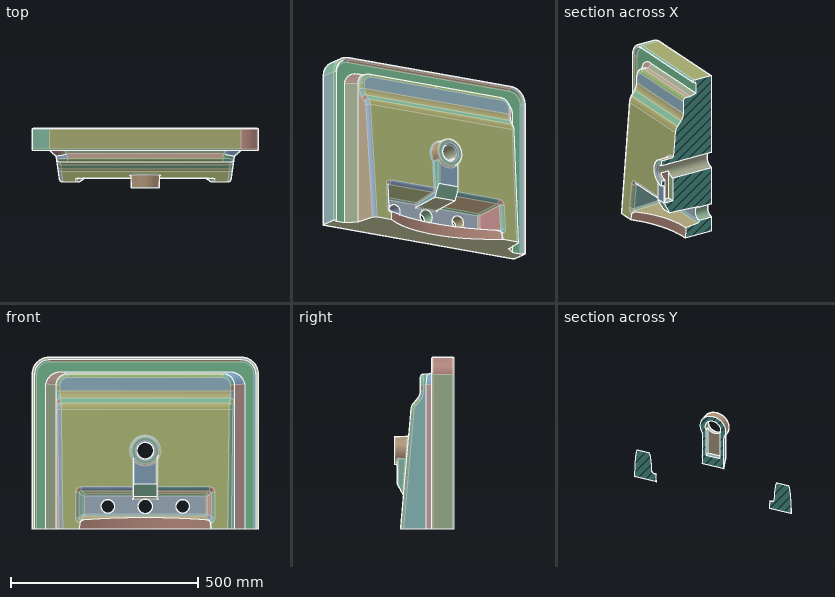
import cadquery as cq
import math


SLAB_WIDTH = 605.0
SLAB_HEIGHT = 460.0
SLAB_DEPTH = 60.0
SLAB_CORNER = 46.0
SLAB_EDGE_ROUND = 4.0
LIP_WIDTH = 7.0
LIP_HEIGHT = 9.0
LIP_INNER_ROUND = 2.5
LIP_FOOT_ROUND = 5.5
PANEL_DEPTH = SLAB_DEPTH - LIP_HEIGHT

FLARE_END_DEPTH = 75.0
FLARE_BASE_HALF_WIDTH = 266.0
FLARE_END_HALF_WIDTH = 238.5
FLARE_BASE_TOP = 420.0
FLARE_END_TOP = 413.0
FLARE_BASE_CORNER = (46.0, 32.0)
FLARE_END_CORNER = (32.0, 27.0)

APRON_TOP = 415.0
APRON_DRAFT = 8.0
APRON_CORNER = 30.0
APRON_LIMIT_DEPTH = 160.0
APRON_EDGE_ROUND = 10.0
TOP_FACE_DEPTH = 90.7
SHOULDER_DEPTH = 115.8
FOOT_DEPTH = 143.8
TOP_FACE_END = 370.0
STEP_ANGLE = 40.0
STEP_TOP = 350.0
STEP_BOTTOM = 337.0
SHOULDER_HEIGHT = 320.0

RECESS_FLOOR_DEPTH = 40.0
RECESS_DRAFT = 6.5
RECESS_FLOOR_HALF_WIDTH = 166.5
RECESS_FLOOR_BOTTOM = 36.0
RECESS_FLOOR_TOP = 93.0
RECESS_EDGE_ROUND = 5.0

RIM_ROUND = 10.0
SHELF_ROUND = 6.0
RIM_HALF_WIDTH = 191.0
RIM_EDGE_REACH = 20.0
RIM_UPPER_BAND = (45.0, 116.0)
RIM_LOWER_BAND = (12.0, 32.0)

BITE_HALF_CHORD = 176.0
BITE_RISE = 61.0
BITE_LIMIT_DEPTH = 80.0

TAP_HEIGHT = 61.0
TAP_SPACING = 100.0
SIDE_TAP_DIAMETER = 35.5
CENTRE_TAP_DIAMETER = 38.0

DRAIN_HEIGHT = 210.0
DRAIN_DIAMETER = 44.0
DRAIN_ENTRY_ROUND = 4.0
BOSS_END_DEPTH = 160.0
BOSS_START_DEPTH = 100.0
BOSS_END_RADIUS = 37.5
BOSS_DRAFT = 2.0
BOSS_ROUND = 2.0
BOSS_FOOT_ROUND = 3.0
CHANNEL_HALF_WIDTH = 31.7
CHANNEL_DEPTH = 152.4
CHANNEL_KINK_HEIGHT = 121.0
CHANNEL_TOE_DEPTH = 134.0
CHANNEL_TOE_HEIGHT = 87.0
CHANNEL_FLOOR_HEIGHT = 82.0
CHANNEL_ROUND = 3.5
CHANNEL_FOOT_ROUND = 3.0
OVERFLOW_WIDTH = 40.0
OVERFLOW_FRONT_DEPTH = 148.0
OVERFLOW_BACK_DEPTH = 124.0


def at_depth(depth):
    """Vertical sketch plane at a depth; its normal points toward -Y."""
    return cq.Workplane("XZ", origin=(0, -depth, 0))


def arch(plane, half_width, top, corner_x, corner_z):
    """Outline standing on Z = 0 with two rounded upper corners."""
    spring = top - corner_z
    flat = half_width - corner_x
    mid_x = flat + corner_x * math.sqrt(0.5)
    mid_z = spring + corner_z * math.sqrt(0.5)
    return (
        plane.moveTo(-half_width, 0)
        .lineTo(-half_width, spring)
        .threePointArc((-mid_x, mid_z), (-flat, top))
        .lineTo(flat, top)
        .threePointArc((mid_x, mid_z), (half_width, spring))
        .lineTo(half_width, 0)
        .close()
    )


def arch_loft(base_depth, base, end_depth, end):
    """Ruled solid between two arch outlines at different depths."""
    first = arch(at_depth(base_depth), *base)
    second = arch(first.workplane(offset=end_depth - base_depth), *end)
    return second.loft(ruled=True, combine=True)


def make_slab():
    """Slab with rounded edges and a sunken panel that leaves the lip."""
    half_width = SLAB_WIDTH / 2
    slab = arch(at_depth(0), half_width, SLAB_HEIGHT, SLAB_CORNER, SLAB_CORNER).extrude(SLAB_DEPTH)
    pocket_half_width = half_width - LIP_WIDTH
    pocket_top = SLAB_HEIGHT - LIP_WIDTH
    pocket_corner = SLAB_CORNER - LIP_WIDTH
    pocket = arch(
        at_depth(PANEL_DEPTH), pocket_half_width, pocket_top, pocket_corner, pocket_corner
    ).extrude(LIP_HEIGHT)
    above_bottom = cq.selectors.BoxSelector(
        (-SLAB_WIDTH, -SLAB_DEPTH - 1, 1), (SLAB_WIDTH, 1, SLAB_HEIGHT + 1)
    )
    pocket = pocket.faces(">Y").edges(above_bottom).fillet(LIP_FOOT_ROUND)
    slab = slab.faces("<Y or >Y").edges(above_bottom).fillet(SLAB_EDGE_ROUND)
    slab = slab.cut(pocket)
    inner_edges = cq.selectors.BoxSelector(
        (-pocket_half_width - 1, -SLAB_DEPTH - 1, 1),
        (pocket_half_width + 1, -SLAB_DEPTH + 0.1, pocket_top + 1),
    )
    return slab.edges(inner_edges).fillet(LIP_INNER_ROUND)


def make_flare():
    """Skirt that narrows from the panel to the apron."""
    return arch_loft(
        PANEL_DEPTH,
        (FLARE_BASE_HALF_WIDTH, FLARE_BASE_TOP, *FLARE_BASE_CORNER),
        FLARE_END_DEPTH,
        (FLARE_END_HALF_WIDTH, FLARE_END_TOP, *FLARE_END_CORNER),
    )


def apron_profile():
    """Stepped side profile, extruded across the full slab width."""
    step_angle = math.radians(STEP_ANGLE)
    step_top_depth = TOP_FACE_DEPTH + (TOP_FACE_END - STEP_TOP) * math.tan(step_angle / 2)
    step_bottom_depth = step_top_depth + (STEP_TOP - STEP_BOTTOM) * math.tan(step_angle)
    profile = (
        cq.Workplane("YZ", origin=(-SLAB_WIDTH / 2, 0, 0))
        .moveTo(-PANEL_DEPTH, 0)
        .lineTo(-PANEL_DEPTH, SLAB_HEIGHT)
        .lineTo(-TOP_FACE_DEPTH, SLAB_HEIGHT)
        .lineTo(-TOP_FACE_DEPTH, TOP_FACE_END)
        .tangentArcPoint((-step_top_depth, STEP_TOP), relative=False)
        .lineTo(-step_bottom_depth, STEP_BOTTOM)
        .tangentArcPoint((-SHOULDER_DEPTH, SHOULDER_HEIGHT), relative=False)
        .lineTo(-FOOT_DEPTH, 0)
        .close()
    )
    return profile.extrude(SLAB_WIDTH)


def make_apron():
    """Drafted arch trimmed to the stepped profile, with a rounded front outline."""
    slope = math.tan(math.radians(APRON_DRAFT))
    base_half_width = FLARE_END_HALF_WIDTH + slope * (FLARE_END_DEPTH - PANEL_DEPTH)
    end_half_width = base_half_width - slope * (APRON_LIMIT_DEPTH - PANEL_DEPTH)
    apron = arch_loft(
        PANEL_DEPTH,
        (base_half_width, APRON_TOP, APRON_CORNER, APRON_CORNER),
        APRON_LIMIT_DEPTH,
        (end_half_width, APRON_TOP, APRON_CORNER, APRON_CORNER),
    ).intersect(apron_profile())
    front_region = cq.selectors.BoxSelector(
        (-SLAB_WIDTH, -FOOT_DEPTH, 1), (SLAB_WIDTH, -BITE_LIMIT_DEPTH, SLAB_HEIGHT)
    )
    side_edges = apron.edges("not #Z").edges("not |X").edges(front_region)
    top_region = cq.selectors.BoxSelector(
        (-1, -TOP_FACE_DEPTH - 1, APRON_TOP - 1), (1, -TOP_FACE_DEPTH + 1, APRON_TOP + 1)
    )
    top_edge = apron.edges("|X").edges(top_region)
    return apron.newObject(side_edges.vals() + top_edge.vals()).fillet(APRON_EDGE_ROUND)


def make_recess_tool():
    """Drafted pocket, widening from its floor to beyond the apron front."""
    length = APRON_LIMIT_DEPTH - RECESS_FLOOR_DEPTH
    spread = 2 * length * math.tan(math.radians(RECESS_DRAFT))
    floor_width = 2 * RECESS_FLOOR_HALF_WIDTH
    floor_height = RECESS_FLOOR_TOP - RECESS_FLOOR_BOTTOM
    tool = (
        at_depth(RECESS_FLOOR_DEPTH)
        .center(0, (RECESS_FLOOR_BOTTOM + RECESS_FLOOR_TOP) / 2)
        .rect(floor_width, floor_height)
        .workplane(offset=length)
        .rect(floor_width + spread, floor_height + spread)
        .loft(ruled=True, combine=True)
    )
    return tool.edges("not <Y").fillet(RECESS_EDGE_ROUND)


def make_bite_tool():
    """Upright cylinder that leaves an arc of the given chord and rise."""
    radius = (BITE_HALF_CHORD**2 + BITE_RISE**2) / (2 * BITE_RISE)
    centre_depth = FOOT_DEPTH - BITE_RISE + radius
    return (
        cq.Workplane("XY")
        .center(0, -centre_depth)
        .circle(radius)
        .extrude((RECESS_FLOOR_BOTTOM + RECESS_FLOOR_TOP) / 2)
    )


def rim_edges(body, low, high):
    """Edges of the recess mouth whose centres lie between two heights."""
    mouth = cq.selectors.BoxSelector(
        (-RIM_HALF_WIDTH, -FOOT_DEPTH + 0.1, low), (RIM_HALF_WIDTH, -BITE_LIMIT_DEPTH, high)
    )
    return [
        edge
        for edge in body.edges(mouth).vals()
        if edge.BoundingBox().ylen < RIM_EDGE_REACH or edge.BoundingBox().xlen > RIM_HALF_WIDTH
    ]


def open_recess(body):
    """Cut the recess and the bite, then round the mouth above and the shelf edge below."""
    body = body.cut(make_recess_tool()).cut(make_bite_tool())
    body = body.newObject(rim_edges(body, *RIM_UPPER_BAND)).fillet(RIM_ROUND)
    return body.newObject(rim_edges(body, *RIM_LOWER_BAND)).fillet(SHELF_ROUND)


def make_channel():
    """Overflow channel running from the drain boss down into the recess."""
    channel = (
        cq.Workplane("YZ")
        .polyline([
            (-RECESS_FLOOR_DEPTH, CHANNEL_FLOOR_HEIGHT),
            (-CHANNEL_TOE_DEPTH, CHANNEL_TOE_HEIGHT),
            (-CHANNEL_DEPTH, CHANNEL_KINK_HEIGHT),
            (-CHANNEL_DEPTH, DRAIN_HEIGHT),
            (-RECESS_FLOOR_DEPTH, DRAIN_HEIGHT),
        ])
        .close()
        .extrude(CHANNEL_HALF_WIDTH, both=True)
    )
    return channel.faces("<Y").edges("|Z").fillet(CHANNEL_ROUND)


def make_boss():
    """Slightly tapered drain boss with a rounded end."""
    length = BOSS_END_DEPTH - BOSS_START_DEPTH
    start_radius = BOSS_END_RADIUS + length * math.tan(math.radians(BOSS_DRAFT))
    boss = (
        at_depth(BOSS_START_DEPTH)
        .center(0, DRAIN_HEIGHT)
        .circle(start_radius)
        .extrude(length, taper=BOSS_DRAFT)
    )
    return boss.faces("<Y").edges().fillet(BOSS_ROUND)


def add_drain(body):
    """Join the channel and boss to the body and round their feet."""
    body = body.union(make_channel()).union(make_boss())
    boss_region = cq.selectors.BoxSelector((-45, -155, 150), (45, -115, 260))
    boss_foot = [
        edge for edge in body.edges(boss_region).vals() if edge.BoundingBox().xlen > 2 * BOSS_END_RADIUS
    ]
    body = body.newObject(boss_foot).fillet(BOSS_FOOT_ROUND)
    channel_region = cq.selectors.BoxSelector(
        (-35, -RECESS_FLOOR_DEPTH - 1, 60), (35, -RECESS_FLOOR_DEPTH + 1, 100)
    )
    return body.edges(channel_region).fillet(CHANNEL_FOOT_ROUND)


def make_overflow_slot():
    """Hollow inside the channel, open to the drain hole."""
    return (
        cq.Workplane("XY", origin=(0, -OVERFLOW_FRONT_DEPTH, CHANNEL_KINK_HEIGHT))
        .box(
            OVERFLOW_WIDTH,
            OVERFLOW_FRONT_DEPTH - OVERFLOW_BACK_DEPTH,
            DRAIN_HEIGHT - CHANNEL_KINK_HEIGHT,
            centered=(True, False, False),
        )
    )


def through_hole(x, z, diameter):
    """Cylinder along Y through the full depth of the part."""
    return at_depth(0).center(x, z).circle(diameter / 2).extrude(BOSS_END_DEPTH)


def drill_drain(body):
    """Cut the overflow slot and the drain hole, and round the hole entry."""
    body = body.cut(make_overflow_slot()).cut(through_hole(0, DRAIN_HEIGHT, DRAIN_DIAMETER))
    entry = body.faces("<Y").edges("%CIRCLE").edges(cq.selectors.RadiusNthSelector(0))
    return entry.fillet(DRAIN_ENTRY_ROUND)


def drill_taps(body):
    """Three tap holes through the recess floor."""
    taps = (
        (-TAP_SPACING, SIDE_TAP_DIAMETER),
        (0, CENTRE_TAP_DIAMETER),
        (TAP_SPACING, SIDE_TAP_DIAMETER),
    )
    for x, diameter in taps:
        body = body.cut(through_hole(x, TAP_HEIGHT, diameter))
    return body


basin = make_slab().union(make_flare()).union(make_apron())
basin = open_recess(basin)
basin = add_drain(basin)
basin = drill_drain(basin)
result = drill_taps(basin)